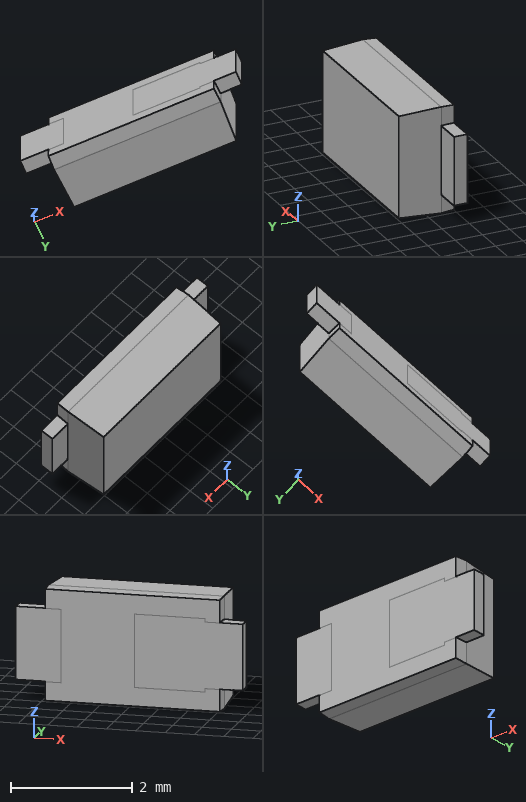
import cadquery as cq

overall_length = 3.88
body_depth = 1.0
body_length = 3.0
body_height = 1.93
body_start = 0.495
draft_angle = 3.0

lead_thickness = 0.25
lead_width = 1.25
left_lead_length = 0.772
pad_start = 2.03
pad_length = 1.203
tab_width = 1.133

left_end = -overall_length / 2
body_center = left_end + body_start + body_length / 2


def body_half(depth):
    """Half of the body, tapering from the parting plane by a signed depth along Y."""
    half = (
        cq.Workplane("XZ", origin=(body_center, lead_thickness, 0))
        .rect(body_length, body_height)
        .extrude(-depth, taper=draft_angle)
    )
    return half


def lead_plate(start, end, width):
    """Flat plate between two X places, measured from the tip of the left lead."""
    length = end - start
    plate = cq.Workplane("XY").box(length, lead_thickness, width, centered=(False, False, True))
    return plate.translate((left_end + start, 0, 0))


upper_half = body_half(body_depth - lead_thickness)
lower_half = body_half(-lead_thickness)
body = upper_half.union(lower_half)

left_lead = lead_plate(0, left_lead_length, lead_width)
right_pad = lead_plate(pad_start, pad_start + pad_length, lead_width)
right_tab = lead_plate(pad_start, overall_length, tab_width)
right_lead = right_pad.union(right_tab)

recessed_body = body.cut(left_lead).cut(right_lead)
result = recessed_body.union(left_lead, clean=False).union(right_lead, clean=False)